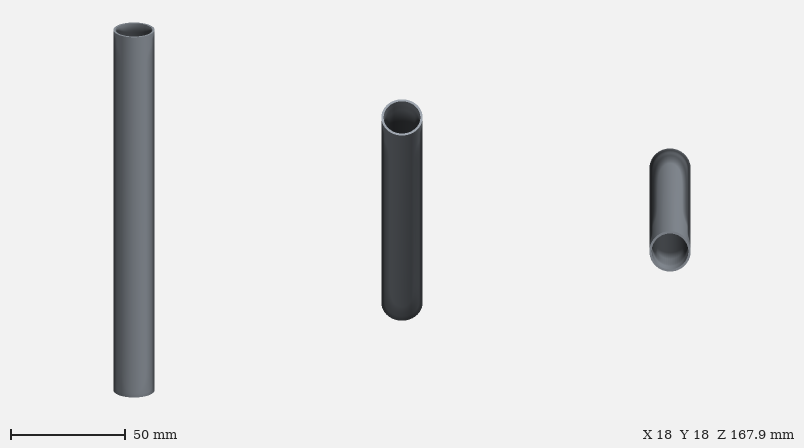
import cadquery as cq

length = 167.9
outer_diameter = 18.0
wall = 1.0

outer_radius = outer_diameter / 2
inner_radius = outer_radius - wall

result = (
    cq.Workplane("XY")
    .circle(outer_radius)
    .circle(inner_radius)
    .extrude(length)
)